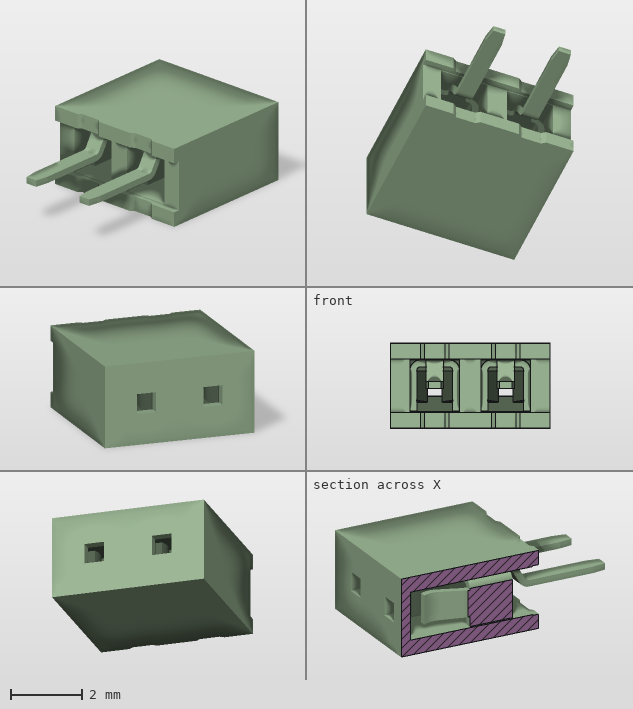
import cadquery as cq
import math

overall_length = 6.8
housing_width = 4.5
housing_length = 4.4
housing_height = 2.4
contact_pitch = 2.0
contact_places = (-contact_pitch / 2, contact_pitch / 2)
mating_face_y = overall_length / 2
pin_end_y = -overall_length / 2
lip_face_y = mating_face_y - housing_length

channel_height = 1.5
channel_depth = 0.2
channel_floor_y = lip_face_y + channel_depth

notch_outer_width = 0.815
notch_inner_width = 0.585
notch_depth = 0.09

cavity_width = 1.41
cavity_height = 1.455
mating_wall = 0.3
mating_opening = 0.585

sheet = 0.2
bridge_top_z = cavity_height / 2
bridge_outer_radius = 0.3
bridge_inner_radius = bridge_outer_radius - sheet
leg_bottom_z = -0.71
bridge_front_y = -0.155
bridge_length = 1.36
bridge_back_y = bridge_front_y + bridge_length

beam_top_z = 0.42
beam_root_bottom_z = -0.4
beam_tip_bottom_z = -0.47
beam_crest_gap = 0.4
beam_angle = math.radians(20)
beam_bend_radius = 0.545
beam_flare_length = 0.11

pin_width = 0.49
pin_tip_width = 0.36
pin_taper_length = 0.415
pin_top_z = 0.115
pin_root_radius = 0.095
slope_angle = math.radians(59)
upper_bend_radius = 0.41
lower_bend_radius = 0.12
straight_start_y = -0.925


def box(x_size, y_start, y_end, z_start, z_end):
    """Box centred on X between the given Y and Z limits."""
    return (
        cq.Workplane("XY")
        .box(x_size, y_end - y_start, z_end - z_start, centered=(True, False, False))
        .translate((0, y_start, z_start))
    )


def lip_notch():
    """Trapezoid cutter that opens towards the lip face, through the full height."""
    return (
        cq.Workplane("XY")
        .workplane(offset=-housing_height / 2)
        .polyline([
            (-notch_outer_width / 2, lip_face_y),
            (notch_outer_width / 2, lip_face_y),
            (notch_inner_width / 2, lip_face_y + notch_depth),
            (-notch_inner_width / 2, lip_face_y + notch_depth),
        ])
        .close()
        .extrude(housing_height)
    )


def bridge_and_legs():
    """Inverted U of bent sheet with rounded shoulders."""
    outer = box(cavity_width, bridge_front_y, bridge_back_y, leg_bottom_z, bridge_top_z)
    outer = outer.edges("|Y and >Z").fillet(bridge_outer_radius)
    inner_width = cavity_width - 2 * sheet
    inner = box(inner_width, bridge_front_y, bridge_back_y, leg_bottom_z, bridge_top_z - sheet)
    inner = inner.edges("|Y and >Z").fillet(bridge_inner_radius)
    return outer.cut(inner)


def spring_beam(side):
    """Bent beam growing from one leg and getting taller to its tip; side is -1 or 1."""
    root_x = cavity_width / 2 - sheet
    crest_x = beam_crest_gap / 2
    bend_run = beam_bend_radius * math.sin(beam_angle)
    bend_shift = beam_bend_radius * (1 - math.cos(beam_angle))
    half_run = beam_bend_radius * math.sin(beam_angle / 2)
    half_shift = beam_bend_radius * (1 - math.cos(beam_angle / 2))
    lean_run = (root_x - crest_x - 2 * bend_shift) / math.tan(beam_angle)
    flare_shift = beam_flare_length * math.tan(beam_angle)

    lean_start_y = bridge_back_y + bend_run
    lean_end_y = lean_start_y + lean_run
    crest_y = lean_end_y + bend_run
    flare_start_y = crest_y + bend_run
    tip_y = flare_start_y + beam_flare_length

    root = (root_x, bridge_back_y)
    root_middle = (root_x - half_shift, bridge_back_y + half_run)
    lean_start = (root_x - bend_shift, lean_start_y)
    lean_end = (crest_x + bend_shift, lean_end_y)
    crest = (crest_x, crest_y)
    flare_start = (crest_x + bend_shift, flare_start_y)
    tip = (crest_x + bend_shift + flare_shift, tip_y)

    def inner(point):
        return (side * point[0], point[1])

    def outer(point):
        return (side * (point[0] + sheet), point[1])

    beam = (
        cq.Workplane("XY")
        .workplane(offset=beam_tip_bottom_z)
        .moveTo(*inner(root))
        .threePointArc(inner(root_middle), inner(lean_start))
        .lineTo(*inner(lean_end))
        .threePointArc(inner(crest), inner(flare_start))
        .lineTo(*inner(tip))
        .lineTo(*outer(tip))
        .lineTo(*outer(flare_start))
        .threePointArc(outer(crest), outer(lean_end))
        .lineTo(*outer(lean_start))
        .threePointArc(outer(root_middle), outer(root))
        .close()
        .extrude(beam_top_z - beam_tip_bottom_z)
    )
    below_beam = (
        cq.Workplane("YZ")
        .workplane(offset=-cavity_width / 2)
        .polyline([
            (bridge_back_y, beam_root_bottom_z),
            (tip_y, beam_tip_bottom_z),
            (bridge_back_y, beam_tip_bottom_z),
        ])
        .close()
        .extrude(cavity_width)
    )
    return beam.cut(below_beam)


def bend_point(centre, radius, angle):
    """Point on a bend, with the angle in the YZ plane measured from +Y."""
    return (centre[0] + radius * math.cos(angle), centre[1] + radius * math.sin(angle))


def pin_side_profile():
    """Pin seen along X: straight run, lower bend, slope, upper bend, bridge."""
    lower_outer = lower_bend_radius + sheet
    upper_inner = upper_bend_radius - sheet
    lower_centre = (straight_start_y, pin_top_z + lower_bend_radius)
    upper_centre_z = bridge_top_z - upper_bend_radius

    centre_rise = upper_centre_z - lower_centre[1]
    centre_gap = lower_bend_radius + upper_bend_radius
    slope_length = (centre_rise + centre_gap * math.cos(slope_angle)) / math.sin(slope_angle)
    centre_run = slope_length * math.cos(slope_angle) + centre_gap * math.sin(slope_angle)
    upper_centre = (straight_start_y + centre_run, upper_centre_z)

    down = -math.pi / 2
    up = math.pi / 2
    lower_end = down + slope_angle
    lower_middle = down + slope_angle / 2
    upper_end = up + slope_angle
    upper_middle = up + slope_angle / 2
    return (
        cq.Workplane("YZ")
        .workplane(offset=-cavity_width / 2)
        .moveTo(pin_end_y, pin_top_z)
        .lineTo(straight_start_y, pin_top_z)
        .threePointArc(
            bend_point(lower_centre, lower_bend_radius, lower_middle),
            bend_point(lower_centre, lower_bend_radius, lower_end),
        )
        .lineTo(*bend_point(upper_centre, upper_bend_radius, upper_end))
        .threePointArc(
            bend_point(upper_centre, upper_bend_radius, upper_middle),
            bend_point(upper_centre, upper_bend_radius, up),
        )
        .lineTo(bridge_back_y, bridge_top_z)
        .lineTo(bridge_back_y, bridge_top_z - sheet)
        .lineTo(*bend_point(upper_centre, upper_inner, up))
        .threePointArc(
            bend_point(upper_centre, upper_inner, upper_middle),
            bend_point(upper_centre, upper_inner, upper_end),
        )
        .lineTo(*bend_point(lower_centre, lower_outer, lower_end))
        .threePointArc(
            bend_point(lower_centre, lower_outer, lower_middle),
            bend_point(lower_centre, lower_outer, down),
        )
        .lineTo(pin_end_y, pin_top_z - sheet)
        .close()
        .extrude(cavity_width)
    )


def pin_plan():
    """Pin seen from above: tapered tip, constant width, rounded root at the bridge."""
    half_width = pin_width / 2
    half_tip = pin_tip_width / 2
    half_root = half_width + pin_root_radius
    taper_y = pin_end_y + pin_taper_length
    root_y = bridge_front_y - pin_root_radius
    arc_middle = pin_root_radius * (1 - math.sqrt(0.5))
    return (
        cq.Workplane("XY")
        .workplane(offset=-cavity_height / 2)
        .moveTo(-half_tip, pin_end_y)
        .lineTo(half_tip, pin_end_y)
        .lineTo(half_width, taper_y)
        .lineTo(half_width, root_y)
        .threePointArc((half_width + arc_middle, bridge_front_y - arc_middle), (half_root, bridge_front_y))
        .lineTo(half_root, bridge_back_y)
        .lineTo(-half_root, bridge_back_y)
        .lineTo(-half_root, bridge_front_y)
        .threePointArc((-half_width - arc_middle, bridge_front_y - arc_middle), (-half_width, root_y))
        .lineTo(-half_width, taper_y)
        .close()
        .extrude(cavity_height)
    )


def contact():
    """Complete contact: bridge and legs, both spring beams and the bent pin."""
    pin = pin_side_profile().intersect(pin_plan())
    body = bridge_and_legs().union(pin)
    for side in (-1, 1):
        body = body.union(spring_beam(side))
    return body


def housing():
    """Block with the channel, and a cavity, opening and lip notch per contact."""
    half_height = housing_height / 2
    half_channel = channel_height / 2
    half_cavity = cavity_height / 2
    half_opening = mating_opening / 2
    cavity_end_y = mating_face_y - mating_wall
    block = box(housing_width, lip_face_y, mating_face_y, -half_height, half_height)
    block = block.cut(box(housing_width, lip_face_y, channel_floor_y, -half_channel, half_channel))
    cavity = box(cavity_width, channel_floor_y, cavity_end_y, -half_cavity, half_cavity)
    opening = box(mating_opening, cavity_end_y, mating_face_y, -half_opening, half_opening)
    for x in contact_places:
        for cutter in (cavity, opening, lip_notch()):
            block = block.cut(cutter.translate((x, 0, 0)))
    return block


result = housing()
for contact_x in contact_places:
    result = result.union(contact().translate((contact_x, 0, 0)))